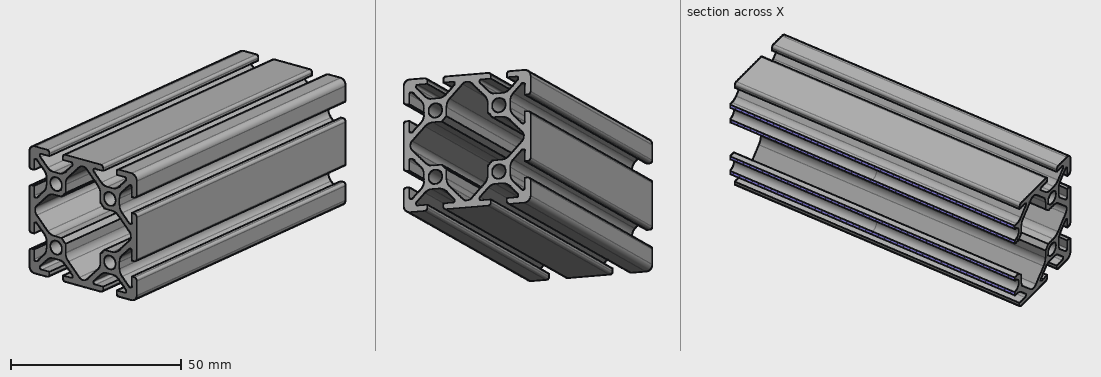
import cadquery as cq
import math

side = 40.0
length = 100.0
corner_radius = 2.0

slot_spacing = 20.0
bore_diameter = 4.3

slot_opening = 5.0
lip_thickness = 1.8
lip_radius = lip_thickness / 2
slot_depth = 6.4
slot_floor_width = 4.7
slot_floor_radius = 3.1
slot_shoulder_radius = 0.6

boss_half_width = 3.5
boss_chamfer = 1.5
rib_thickness = 1.8
rib_root_radius = 3.5
cavity_tip_radius = 2.0

half_side = side / 2
slot_center = slot_spacing / 2
slot_floor_height = half_side - slot_depth
half_floor = slot_floor_width / 2
half_opening = slot_opening / 2
signs = (-1, 1)
side_angles = (0, 90, 180, 270)


def prism(outline):
    """Extrude an XZ outline over the whole length, centered on Y."""
    return outline.extrude(length / 2, both=True)


def edges_at(solid, x, z):
    """Select the lengthwise edge that passes through the given XZ point."""
    reach = 0.01
    around_point = cq.selectors.BoxSelector(
        (x - reach, -reach, z - reach),
        (x + reach, reach, z + reach),
    )
    return solid.edges(around_point)


def round_edges(solid, corners, radius):
    for x, z in corners:
        solid = edges_at(solid, x, z).fillet(radius)
    return solid


def chamfer_edges(solid, corners, size):
    for x, z in corners:
        solid = edges_at(solid, x, z).chamfer(size)
    return solid


def on_each_side(solid):
    """Repeat a top-side solid on all four long sides."""
    copies = cq.Workplane("XZ")
    for angle in side_angles:
        copies = copies.add(solid.rotate((0, 0, 0), (0, 1, 0), angle))
    return copies.combine()


def slot_chamber():
    """Wide part of a T-slot: 45 degree flanks from the shoulders down to a flat floor."""
    shoulder_height = half_side - lip_thickness
    half_shoulder = half_floor + shoulder_height - slot_floor_height
    shoulders = [(-half_shoulder, shoulder_height), (half_shoulder, shoulder_height)]
    floor_corners = [(half_floor, slot_floor_height), (-half_floor, slot_floor_height)]
    chamber = prism(cq.Workplane("XZ").polyline(shoulders + floor_corners).close())
    chamber = round_edges(chamber, shoulders, slot_shoulder_radius)
    return round_edges(chamber, floor_corners, slot_floor_radius)


def slot_mouth():
    """Opening between the lips, flared by the rounded outer lip edges."""
    lip_bottom = half_side - lip_thickness
    flare_start = half_side - lip_radius
    half_flare = half_opening + lip_radius
    arc_offset = lip_radius * (1 - math.sqrt(0.5))
    outline = (
        cq.Workplane("XZ")
        .moveTo(-half_opening, lip_bottom)
        .lineTo(half_opening, lip_bottom)
        .lineTo(half_opening, flare_start)
        .threePointArc((half_opening + arc_offset, half_side - arc_offset), (half_flare, half_side))
        .lineTo(-half_flare, half_side)
        .threePointArc((-half_opening - arc_offset, half_side - arc_offset), (-half_opening, flare_start))
        .close()
    )
    return prism(outline)


def slots():
    slot = slot_mouth().union(slot_chamber())
    pair = cq.Workplane("XZ")
    for sign in signs:
        pair = pair.add(slot.translate((sign * slot_center, 0, 0)))
    return on_each_side(pair.combine())


def cavity():
    """Four-pointed hollow: the points run between the ribs, the bosses notch its corners."""
    slot_flank_sum = slot_center - half_floor + slot_floor_height
    tip = slot_flank_sum - rib_thickness * math.sqrt(2)
    boss_face = slot_center - boss_half_width
    root = tip - boss_face
    arm = [(-boss_face, boss_face), (-boss_face, root), (0, tip), (boss_face, root)]
    arm_body = prism(cq.Workplane("XZ").polyline(arm + [(boss_face, boss_face), (0, 0)]).close())
    arm_body = round_edges(arm_body, [(0, tip)], cavity_tip_radius)
    arm_body = round_edges(arm_body, [(-boss_face, root), (boss_face, root)], rib_root_radius)
    hollow = on_each_side(arm_body)
    boss_corners = [(sx * boss_face, sz * boss_face) for sx in signs for sz in signs]
    return chamfer_edges(hollow, boss_corners, boss_chamfer)


def bores():
    centers = [(sx * slot_center, sz * slot_center) for sx in signs for sz in signs]
    return prism(cq.Workplane("XZ").pushPoints(centers).circle(bore_diameter / 2))


bar = prism(cq.Workplane("XZ").rect(side, side)).edges("|Y").fillet(corner_radius)
result = bar.cut(slots()).cut(cavity()).cut(bores())